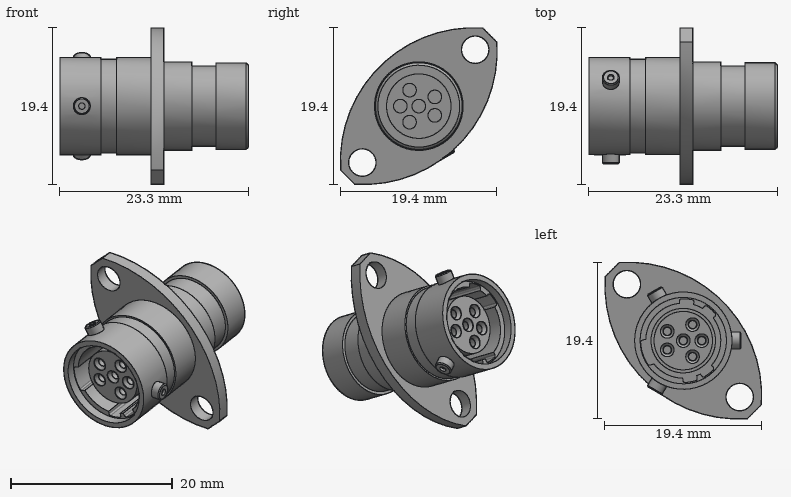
import cadquery as cq
import math

total_length = 23.3

band_end = 5.05
groove_end = 7.0
flange_start = 11.23
flange_thickness = 1.6
flange_end = flange_start + flange_thickness
shoulder_end = 16.29
neck_end = 19.27
body_radius = 6.0
groove_radius = 5.8
shoulder_radius = 5.48
neck_radius = 4.99
rear_radius = 5.35
rear_chamfer = 0.3

flange_arc_radius = 16.5
flange_half_width = 6.87
flange_half_length = 12.42
flange_angle = 45.0
mounting_hole_radius = 1.68
mounting_hole_offset = 9.85

mouth_radius = 5.34
mouth_depth = 1.19
cavity_radius = 4.64
cavity_depth = groove_end
keyway_fillet = 0.23
narrow_keyway_width = 1.77
narrow_keyway_radius = 5.17
narrow_keyway_angles = (95.0, 132.0, -100.0, -128.0)
wide_keyway_width = 3.22
wide_keyway_radius = 5.27
wide_keyway_angle = -18.0

stud_count = 3
stud_first_angle = 60.0
stud_position = 2.7
stud_radius = 1.05
stud_tip = 7.13
stud_chamfer = 0.15
dimple_radius = 0.4
dimple_depth = 0.35

post_radius = 3.6
post_face = 1.98
base_radius = 3.98

contact_radius = 0.85
contact_circle_radius = 2.28
contact_angles = (30.0, 120.0, 180.0, 240.0, 330.0)
contact_recess = 0.1
contact_face = post_face + contact_recess
funnel_end_radius = 0.54
funnel_depth = 0.47
socket_radius = 0.5
socket_depth = 3.5


def cylinder(start, end, radius):
    """Cylinder on the X axis between two stations."""
    return cq.Workplane("YZ", origin=(start, 0, 0)).circle(radius).extrude(end - start)


def turn(shape, angle):
    """Rotate a shape about the X axis; 0 degrees is +Y and 90 degrees is +Z."""
    return shape.rotate((0, 0, 0), (1, 0, 0), angle)


def make_flange():
    end_half_width = (
        math.sqrt(flange_arc_radius**2 - flange_half_length**2) - flange_arc_radius + flange_half_width
    )
    lens = (
        cq.Workplane("YZ", origin=(flange_start, 0, 0))
        .moveTo(-flange_half_length, end_half_width)
        .threePointArc((0, flange_half_width), (flange_half_length, end_half_width))
        .lineTo(flange_half_length, -end_half_width)
        .threePointArc((0, -flange_half_width), (-flange_half_length, -end_half_width))
        .close()
        .extrude(flange_thickness)
    )
    holes = (
        cq.Workplane("YZ", origin=(flange_start, 0, 0))
        .pushPoints([(-mounting_hole_offset, 0), (mounting_hole_offset, 0)])
        .circle(mounting_hole_radius)
        .extrude(flange_thickness)
    )
    return turn(lens.cut(holes), flange_angle)


def make_stud(angle):
    stud = (
        cq.Workplane("XZ", origin=(stud_position, mouth_radius, 0))
        .circle(stud_radius)
        .extrude(mouth_radius - stud_tip)
        .faces(">Y")
        .chamfer(stud_chamfer)
    )
    dimple = (
        cq.Workplane("XZ", origin=(stud_position, stud_tip, 0))
        .circle(dimple_radius)
        .extrude(dimple_depth)
    )
    return turn(stud.cut(dimple), angle)


def make_keyway(width, radius, angle):
    """Parallel-sided slot with a round floor and rounded floor corners."""
    slot = (
        cq.Workplane("YZ", origin=(mouth_depth, 0, 0))
        .rect(2 * radius, width)
        .extrude(cavity_depth - mouth_depth)
        .intersect(cylinder(mouth_depth, cavity_depth, radius))
        .edges("|X")
        .edges(">Y")
        .fillet(keyway_fillet)
    )
    outer_half = cq.Workplane("XY").box(
        total_length, radius, 2 * radius, centered=(False, False, True)
    )
    return turn(slot.intersect(outer_half), angle)


def make_housing():
    housing = (
        cylinder(0, band_end, body_radius)
        .union(cylinder(band_end, groove_end, groove_radius))
        .union(cylinder(groove_end, flange_start, body_radius))
        .union(make_flange())
        .union(cylinder(flange_end, shoulder_end, shoulder_radius))
        .union(cylinder(shoulder_end, neck_end, neck_radius))
        .union(cylinder(neck_end, total_length, rear_radius).faces(">X").chamfer(rear_chamfer))
    )
    for index in range(stud_count):
        housing = housing.union(make_stud(stud_first_angle + index * 360 / stud_count))

    housing = (
        housing.cut(cylinder(0, mouth_depth, mouth_radius))
        .cut(cylinder(mouth_depth, cavity_depth, cavity_radius))
        .cut(cylinder(cavity_depth, total_length, base_radius))
    )
    for angle in narrow_keyway_angles:
        housing = housing.cut(make_keyway(narrow_keyway_width, narrow_keyway_radius, angle))
    return housing.cut(make_keyway(wide_keyway_width, wide_keyway_radius, wide_keyway_angle))


def contact_centres():
    ring = [
        (
            contact_circle_radius * math.cos(math.radians(angle)),
            contact_circle_radius * math.sin(math.radians(angle)),
        )
        for angle in contact_angles
    ]
    return [(0, 0)] + ring


def make_insert():
    insert = cylinder(post_face, cavity_depth, post_radius).union(
        cylinder(cavity_depth, total_length, base_radius)
    )
    for y, z in contact_centres():
        contact_hole = cylinder(post_face, total_length, contact_radius).translate((0, y, z))
        insert = insert.cut(contact_hole)
    return insert


def make_contact(y, z):
    """Round contact with a funnel mouth that ends on a narrow ledge around a blind socket."""
    funnel_end = contact_face + funnel_depth
    socket_end = contact_face + socket_depth
    profile = [
        (contact_face, contact_radius),
        (funnel_end, funnel_end_radius),
        (funnel_end, socket_radius),
        (socket_end, socket_radius),
        (socket_end, 0),
        (total_length, 0),
        (total_length, contact_radius),
    ]
    contact = cq.Workplane("XY").polyline(profile).close().revolve(360, (0, 0, 0), (1, 0, 0))
    return contact.translate((0, y, z))


housing = make_housing()
insert = make_insert()
contacts = [make_contact(y, z) for y, z in contact_centres()]

result = cq.Compound.makeCompound(
    [housing.val(), insert.val(), *[contact.val() for contact in contacts]]
)